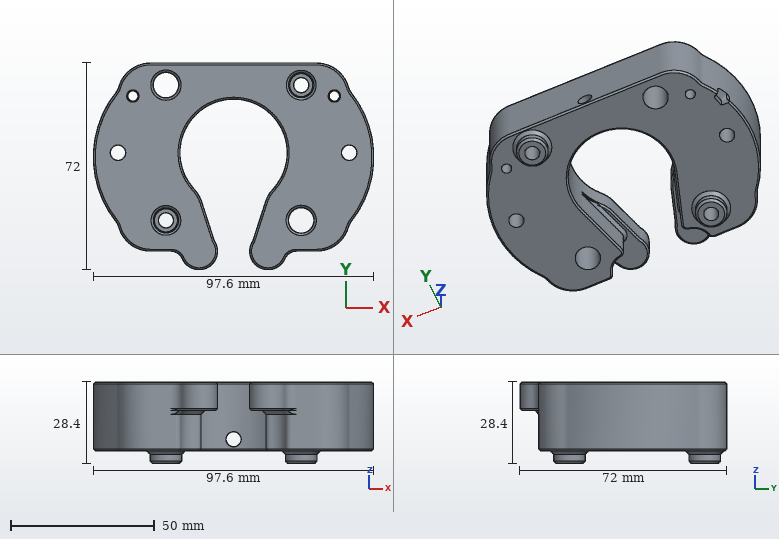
import cadquery as cq
import math

plate_height = 23.9
plate_back = 31.3
plate_front = -34.3
plate_mid_y = (plate_back + plate_front) / 2
plate_depth = plate_back - plate_front
block_width = 80.9
block_corner_radius = 11.5
side_reach = 48.8
side_radius = 35.8
waist_radius = 5.9
waist_edge_min_x = 35.2
edge_chamfer = 0.7

bore_radius = 18.7
mouth_half_angle = 18.0
mouth_offset = 15.8
mouth_blend_radius = 11.7

tab_x = 12.0
tab_radius = 6.4
tab_root_radius = 4.2
tab_neck_radius = 2.0
tip_trim = 3.9
tab_height = 10.0
relief_corner_radius = 2.0
relief_chamfer = 1.3

bolt_pitch = 23.5
bolt_hole_diameter = 5.2
bolt_head_diameter = 8.8
bolt_head_depth = 11.7
bolt_seat_chamfer = 0.4
bolt_rim_chamfer = 0.8
lead_in_diameter = 9.0
lead_in_depth = 2.1
bolt_holes = [(bolt_pitch, bolt_pitch), (-bolt_pitch, -bolt_pitch)]
plain_holes = [(-bolt_pitch, bolt_pitch), (bolt_pitch, -bolt_pitch)]

foot_diameter = 11.0
foot_height = 4.5
foot_tip_chamfer = 0.9
foot_flare = 1.3

side_hole_diameter = 5.3
side_hole_x = 40.2
pin_hole_diameter = 3.5
pin_hole_x = 35.1
pin_hole_y = 19.7
pin_rim_chamfer = 0.4
cross_hole_diameter = 5.2
cross_hole_z = 4.0

pocket_x = -45.5
pocket_y = 14.1
pocket_width = 5.8
pocket_height = 4.4
pocket_corner_radius = 1.6
pocket_depth = 2.9
pocket_taper = 18.0
pocket_turn = 15.0

overrun = 9.8
edge_match_reach = 0.5


def cylinder(x, y, radius, z_low, z_high):
    return cq.Workplane("XY", origin=(x, y, z_low)).circle(radius).extrude(z_high - z_low)


def is_near(edge, x, y):
    """True if the edge crosses within a small distance of (|x|, y) on either side of the part."""
    center = edge.Center()
    return math.hypot(abs(center.x) - x, center.y - y) < edge_match_reach


def fillet_upright(body, x, y, radius):
    """Round the mirrored pair of upright edges at (+x, y) and (-x, y)."""
    edges = [edge for edge in body.edges("|Z").vals() if is_near(edge, x, y)]
    return body.newObject(edges).fillet(radius)


def mouth_wall_x(y, offset):
    """Half width at y of a mouth whose walls lie at the given distance from the bore axis."""
    angle = math.radians(mouth_half_angle)
    return (offset + y * math.sin(angle)) / math.cos(angle)


def mouth(offset, y_low, height):
    """Wedge opening that starts level with the tangent points on a circle of radius offset."""
    y_high = -offset * math.sin(math.radians(mouth_half_angle))
    wide = mouth_wall_x(y_high, offset)
    narrow = mouth_wall_x(y_low, offset)
    points = [(-wide, y_high), (wide, y_high), (narrow, y_low), (-narrow, y_low)]
    return cq.Workplane("XY").polyline(points).close().extrude(height)


def outer_block():
    slab = cq.Workplane("XY").center(0, plate_mid_y)
    block = slab.rect(block_width, plate_depth).extrude(plate_height)
    block = block.edges("|Z").fillet(block_corner_radius)
    bulge_x = side_reach - side_radius
    bulges = cylinder(bulge_x, plate_mid_y, side_radius, 0, plate_height)
    bulges = bulges.union(cylinder(-bulge_x, plate_mid_y, side_radius, 0, plate_height))
    bulges = bulges.intersect(slab.rect(2 * side_reach, plate_depth).extrude(plate_height))
    block = block.union(bulges)
    waist_edges = []
    for edge in block.edges("|Z").vals():
        if abs(edge.Center().x) > waist_edge_min_x:
            waist_edges.append(edge)
    return block.newObject(waist_edges).fillet(waist_radius)


def wall_crossing(offset, x, y, radius, direction):
    """Where the mouth wall meets a circle: direction 1 towards the bore, -1 towards the front."""
    angle = math.radians(mouth_half_angle)
    across = offset - x * math.cos(angle) + y * math.sin(angle)
    along = direction * math.sqrt(radius**2 - across**2)
    crossing_x = x + across * math.cos(angle) + along * math.sin(angle)
    crossing_y = y - across * math.sin(angle) + along * math.cos(angle)
    return crossing_x, crossing_y


def tabs(z_low, z_high):
    left = cylinder(-tab_x, plate_front, tab_radius, z_low, z_high)
    return left.union(cylinder(tab_x, plate_front, tab_radius, z_low, z_high))


def clamp_outline():
    body = outer_block()
    body = body.cut(cylinder(0, 0, bore_radius, 0, plate_height))
    body = body.cut(mouth(mouth_offset, plate_front - overrun, plate_height))
    bore_corner = wall_crossing(mouth_offset, 0, 0, bore_radius, -1)
    body = fillet_upright(body, *bore_corner, mouth_blend_radius)
    body = body.cut(cq.Workplane("XY").center(0, plate_front).rect(2 * tab_x, tip_trim).extrude(plate_height))
    body = body.union(tabs(0, plate_height))
    tab_corner = wall_crossing(mouth_offset, tab_x, plate_front, tab_radius, 1)
    body = fillet_upright(body, *tab_corner, tab_neck_radius)
    return fillet_upright(body, tab_x + tab_radius, plate_front, tab_root_radius)


def relief_column(height):
    """Upright column over the area where the plate is cut back below the tabs."""
    column = mouth(bore_radius, plate_front - overrun, height)
    column = column.union(tabs(0, height))
    front_space = cq.Workplane("XY").center(0, plate_front - overrun / 2)
    column = column.union(front_space.rect(block_width, overrun).extrude(height))
    column = fillet_upright(column, tab_x + tab_radius, plate_front, relief_corner_radius)
    inner_corner = wall_crossing(bore_radius, tab_x, plate_front, tab_radius, 1)
    return fillet_upright(column, *inner_corner, relief_corner_radius)


def clamp_plate():
    outline = clamp_outline()
    underside = (0, 0, plate_height - tab_height)
    relief = relief_column(plate_height - tab_height).faces(">Z").chamfer(relief_chamfer)
    bevelled_tabs = outline.faces("<Z").chamfer(edge_chamfer).translate(underside)
    tab_bevel = relief_column(edge_chamfer).translate(underside).cut(bevelled_tabs)
    body = outline.faces(">Z").chamfer(edge_chamfer).cut(relief).cut(tab_bevel)
    return body.faces("<Z").chamfer(edge_chamfer)


def revolved(profile, x, y):
    """Turn a (radius, z) profile about the upright axis through (x, y)."""
    return cq.Workplane("XZ", origin=(x, y, 0)).polyline(profile).close().revolve(360, (0, 0), (0, 1))


def foot(x, y):
    radius = foot_diameter / 2
    profile = [
        (0, edge_chamfer),
        (radius + foot_flare, edge_chamfer),
        (radius + foot_flare, 0),
        (radius, -foot_flare),
        (radius, -foot_height + foot_tip_chamfer),
        (radius - foot_tip_chamfer, -foot_height),
        (0, -foot_height),
    ]
    return revolved(profile, x, y)


def through_hole(x, y, diameter):
    return cylinder(x, y, diameter / 2, -overrun, plate_height + overrun)


def rim_bevel(x, y, diameter, chamfer):
    radius = diameter / 2
    top = plate_height
    return revolved([(0, top - chamfer), (radius, top - chamfer), (radius + chamfer, top), (0, top)], x, y)


def lead_in(x, y):
    """Slight funnel from the bevelled rim down to the bolt head diameter."""
    top = plate_height
    profile = [
        (0, top - lead_in_depth),
        (bolt_head_diameter / 2, top - lead_in_depth),
        (lead_in_diameter / 2, top - bolt_rim_chamfer),
        (0, top - bolt_rim_chamfer),
    ]
    return revolved(profile, x, y).union(rim_bevel(x, y, lead_in_diameter, bolt_rim_chamfer))


def bolt_head_seat(x, y):
    seat = cylinder(x, y, bolt_head_diameter / 2, plate_height - bolt_head_depth, plate_height)
    return seat.faces("<Z").chamfer(bolt_seat_chamfer)


def cross_hole():
    back = cq.Workplane("XZ", origin=(0, plate_back + overrun, cross_hole_z))
    return back.circle(cross_hole_diameter / 2).extrude(plate_back + overrun)


def side_pocket():
    turn = math.radians(pocket_turn)
    mouth_plane = cq.Plane(
        origin=(pocket_x, pocket_y, 0),
        xDir=(-math.sin(turn), -math.cos(turn), 0),
        normal=(math.cos(turn), -math.sin(turn), 0),
    )
    outline = cq.Sketch().rect(pocket_width, 2 * pocket_height).vertices().fillet(pocket_corner_radius)
    return cq.Workplane(mouth_plane).placeSketch(outline).extrude(pocket_depth, taper=pocket_taper)


result = clamp_plate()
for x, y in bolt_holes:
    result = result.union(foot(x, y))
    result = result.cut(through_hole(x, y, bolt_hole_diameter))
    result = result.cut(bolt_head_seat(x, y))
    result = result.cut(rim_bevel(x, y, bolt_head_diameter, bolt_rim_chamfer))
for x, y in plain_holes:
    result = result.cut(through_hole(x, y, bolt_head_diameter))
    result = result.cut(lead_in(x, y))
for side in (-1, 1):
    result = result.cut(through_hole(side * side_hole_x, 0, side_hole_diameter))
    result = result.cut(through_hole(side * pin_hole_x, pin_hole_y, pin_hole_diameter))
    result = result.cut(rim_bevel(side * pin_hole_x, pin_hole_y, pin_hole_diameter, pin_rim_chamfer))
result = result.cut(cross_hole())
result = result.cut(side_pocket())